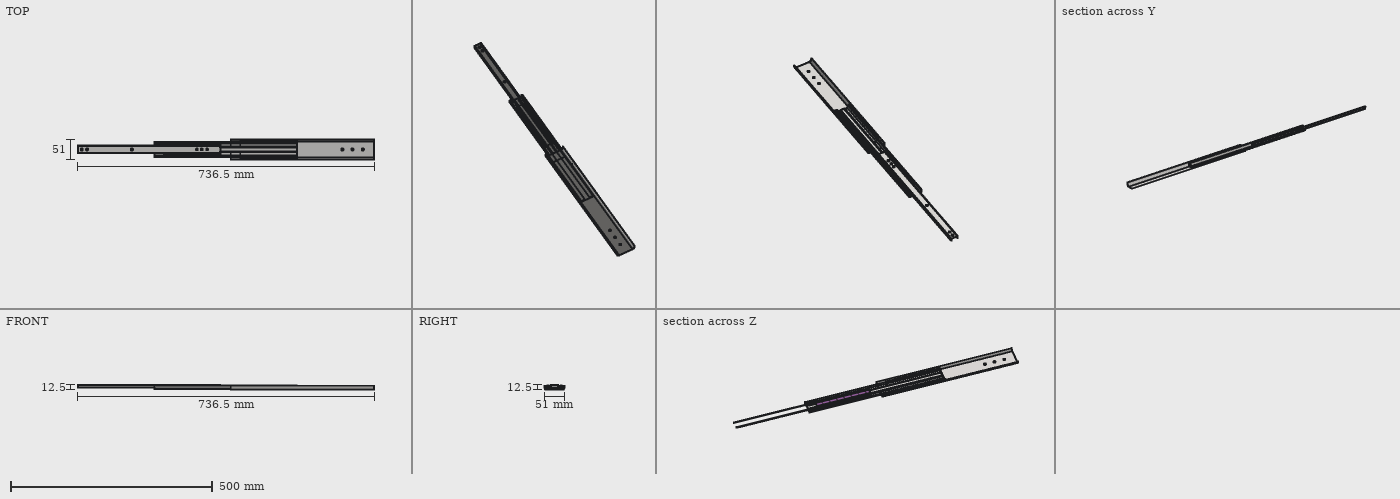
import cadquery as cq


TOTAL_LENGTH = 736.5
OUTER_LENGTH = 356.5
MIDDLE_START = 190.0
MIDDLE_END = 544.0
INNER_LENGTH = 353.5
RETAINER_LENGTH = 142.0
RETAINER_OVERHANG = 1.85

OUTER_HALF_WIDTH = 51.0 / 2
MIDDLE_HALF_WIDTH = 37.5 / 2
INNER_HALF_WIDTH = 20.0 / 2
TOTAL_HEIGHT = 12.5
SHEET = 1.1
RETAINER_SHEET = 0.45

RIM_Z = 11.0
BALL_Z = 7.0
MIDDLE_WEB_Z = 2.0

HOLE_DIAMETER = 5.0
INNER_HOLE_XS = [9.5, 23.0, 134.0, 296.0, 308.0, 321.0]
OUTER_HOLE_XS = [658.0, 683.0, 708.5]

BALL_RADIUS = 1.6
BALL_COUNT = 10
BALL_PITCH = 12.5
FIRST_BALL_X = 428.0


def extrude_symmetric(half_section, start, end):
    """Extrude a closed half section from X = start to X = end and add its mirror image."""
    half = half_section.extrude(end - start).translate((start, 0, 0))
    return half.union(half.mirror("XZ")).clean()


def drill_web(rail, hole_xs):
    """Cut screw holes along the centre line, through the full height."""
    points = [(x, 0) for x in hole_xs]
    holes = cq.Workplane("XY").pushPoints(points).circle(HOLE_DIAMETER / 2).extrude(TOTAL_HEIGHT)
    return rail.cut(holes)


def make_outer_rail():
    """Shallow trough: flat web at the bottom and bulging side walls with a concave inside."""
    web_half_width = OUTER_HALF_WIDTH - 4.0
    wall_foot_y = OUTER_HALF_WIDTH - 2.65
    wall_foot_z = 0.9
    bulge_z = BALL_Z + 1.0
    rim_outside_y = OUTER_HALF_WIDTH - 0.2
    rim_inside_y = rim_outside_y - 0.65
    track_mid_y = OUTER_HALF_WIDTH - 1.6
    track_mid_z = 6.85
    track_foot_z = 3.1
    floor_half_width = 19.0
    half_section = (
        cq.Workplane("YZ")
        .lineTo(web_half_width, 0)
        .threePointArc((web_half_width + 0.65, 0.3), (wall_foot_y, wall_foot_z))
        .threePointArc((OUTER_HALF_WIDTH, bulge_z), (rim_outside_y, RIM_Z))
        .lineTo(rim_inside_y, RIM_Z)
        .threePointArc((track_mid_y, track_mid_z), (web_half_width, track_foot_z))
        .lineTo(floor_half_width, SHEET)
        .lineTo(0, SHEET)
        .close()
    )
    rail = extrude_symmetric(half_section, TOTAL_LENGTH - OUTER_LENGTH, TOTAL_LENGTH)
    return drill_web(rail, OUTER_HOLE_XS)


def make_middle_rail():
    """Web with a raised rib along its centre and side walls grooved on the outside."""
    web_top_z = MIDDLE_WEB_Z + SHEET
    rib_z = 4.3
    rib_half_width = 4.5
    rib_slope_run = 2.0
    rib_side_thickness = 0.9
    groove_half_height = 2.6
    groove_depth = 1.1
    rim_z = 12.0
    crown_z = rim_z + 0.4
    crown_y = MIDDLE_HALF_WIDTH - 1.85
    rim_inside_y = MIDDLE_HALF_WIDTH - 3.2
    wall_foot_y = 14.0
    half_section = (
        cq.Workplane("YZ")
        .moveTo(0, rib_z)
        .lineTo(rib_half_width, rib_z)
        .lineTo(rib_half_width + rib_slope_run, MIDDLE_WEB_Z)
        .lineTo(MIDDLE_HALF_WIDTH - 2.0, MIDDLE_WEB_Z)
        .lineTo(MIDDLE_HALF_WIDTH, BALL_Z - groove_half_height)
        .threePointArc(
            (MIDDLE_HALF_WIDTH - groove_depth, BALL_Z),
            (MIDDLE_HALF_WIDTH, BALL_Z + groove_half_height),
        )
        .threePointArc((MIDDLE_HALF_WIDTH - 0.5, rim_z - 0.3), (crown_y, crown_z))
        .lineTo(rim_inside_y, rim_z)
        .lineTo(wall_foot_y, web_top_z)
        .lineTo(rib_half_width + rib_slope_run + rib_side_thickness, web_top_z)
        .lineTo(rib_half_width + rib_side_thickness, rib_z + SHEET)
        .lineTo(0, rib_z + SHEET)
        .close()
    )
    return extrude_symmetric(half_section, MIDDLE_START, MIDDLE_END)


def make_inner_rail():
    """Inverted channel: web on top, side walls grooved on the outside."""
    bottom_z = 5.0
    groove_top_z = TOTAL_HEIGHT - 1.6
    groove_mid_z = (bottom_z + groove_top_z) / 2
    groove_depth = 0.8
    bend_start_y = INNER_HALF_WIDTH - 1.5
    wall_inside_y = INNER_HALF_WIDTH - 1.7
    half_section = (
        cq.Workplane("YZ")
        .moveTo(0, TOTAL_HEIGHT)
        .lineTo(bend_start_y, TOTAL_HEIGHT)
        .threePointArc(
            (INNER_HALF_WIDTH - 0.45, TOTAL_HEIGHT - 0.5), (INNER_HALF_WIDTH, groove_top_z)
        )
        .threePointArc(
            (INNER_HALF_WIDTH - groove_depth, groove_mid_z), (INNER_HALF_WIDTH, bottom_z)
        )
        .lineTo(wall_inside_y, bottom_z)
        .lineTo(wall_inside_y, TOTAL_HEIGHT - SHEET)
        .lineTo(0, TOTAL_HEIGHT - SHEET)
        .close()
    )
    rail = extrude_symmetric(half_section, 0, INNER_LENGTH)
    return drill_web(rail, INNER_HOLE_XS)


def make_inner_retainer():
    """Bent strip that clears the rib, passes under the inner rail and stands up beside it."""
    end = INNER_LENGTH + RETAINER_OVERHANG
    base_z = 3.8
    crown_z = 6.8
    crown_half_width = 6.0
    leg_run = 1.5
    leg_thickness = 0.3
    strip_inside_y = INNER_HALF_WIDTH + 1.5
    strip_outside_y = strip_inside_y + RETAINER_SHEET
    half_section = (
        cq.Workplane("YZ")
        .moveTo(0, crown_z)
        .lineTo(crown_half_width, crown_z)
        .lineTo(crown_half_width + leg_run, base_z)
        .lineTo(strip_outside_y, base_z)
        .lineTo(strip_outside_y, RIM_Z)
        .lineTo(strip_inside_y, RIM_Z)
        .lineTo(strip_inside_y, base_z + RETAINER_SHEET)
        .lineTo(crown_half_width + leg_run + leg_thickness, base_z + RETAINER_SHEET)
        .lineTo(crown_half_width + leg_thickness, crown_z + RETAINER_SHEET)
        .lineTo(0, crown_z + RETAINER_SHEET)
        .close()
    )
    return extrude_symmetric(half_section, end - RETAINER_LENGTH, end)


def make_outer_retainer():
    """Flat-bottomed strip under the middle rail whose upright sides each carry a row of balls."""
    end = MIDDLE_END + RETAINER_OVERHANG
    base_z = 1.2
    base_half_width = 18.0
    strip_foot_z = 4.5
    strip_inside_y = MIDDLE_HALF_WIDTH + 1.5
    strip_outside_y = strip_inside_y + RETAINER_SHEET
    half_section = (
        cq.Workplane("YZ")
        .moveTo(0, base_z)
        .lineTo(base_half_width, base_z)
        .lineTo(strip_outside_y, strip_foot_z)
        .lineTo(strip_outside_y, RIM_Z)
        .lineTo(strip_inside_y, RIM_Z)
        .lineTo(strip_inside_y, strip_foot_z + 0.3)
        .lineTo(base_half_width - 0.3, base_z + RETAINER_SHEET)
        .lineTo(0, base_z + RETAINER_SHEET)
        .close()
    )
    retainer = extrude_symmetric(half_section, end - RETAINER_LENGTH, end)
    ball_centres = [
        (FIRST_BALL_X + i * BALL_PITCH, side * strip_outside_y, BALL_Z)
        for i in range(BALL_COUNT)
        for side in (-1, 1)
    ]
    balls = cq.Workplane("XY").pushPoints(ball_centres).sphere(BALL_RADIUS)
    return retainer.union(balls)


outer_rail = make_outer_rail()
middle_rail = make_middle_rail()
inner_rail = make_inner_rail()
inner_retainer = make_inner_retainer()
outer_retainer = make_outer_retainer()

result = cq.Compound.makeCompound(
    [
        outer_rail.val(),
        middle_rail.val(),
        inner_rail.val(),
        inner_retainer.val(),
        outer_retainer.val(),
    ]
)